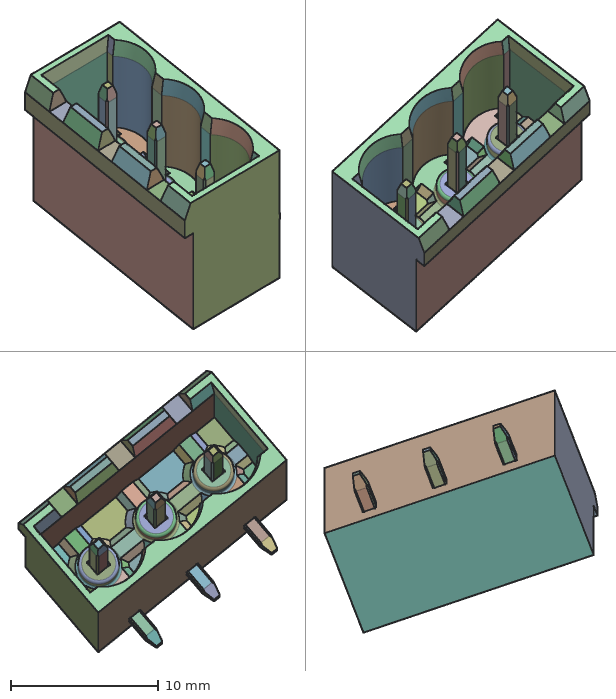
import cadquery as cq

POLE_COUNT = 3
PITCH = 5.08
POLE_XS = [(pole - (POLE_COUNT - 1) / 2) * PITCH for pole in range(POLE_COUNT)]

LENGTH = 16.64
HEIGHT = 12.0
BODY_DEPTH = 7.74
BACK_Y = BODY_DEPTH / 2
FRONT_Y = -BODY_DEPTH / 2
LIP_REACH = 0.75
LIP_Y = FRONT_Y - LIP_REACH
LIP_BOTTOM_Z = 9.02

LEAD_HEIGHT = 1.31
LEAD_Z = HEIGHT - LEAD_HEIGHT
LIP_BEVEL = 0.52

CAVITY_LENGTH = 15.41
CAVITY_BACK_Y = 2.21
CAVITY_FRONT_Y = -3.06
SIDE_FLARE = 0.13
BACK_FLARE = 0.23
FRONT_FLARE = 0.5
FLOOR_Z = 4.0

SCALLOP_Y = 0.37
SCALLOP_RADIUS = 2.75
SCALLOP_FLARE = 0.23

NOTCH_BOTTOM_WIDTH = 1.41
NOTCH_TOP_WIDTH = 1.8

CROSS_RIB_WIDTH = 1.0
FRONT_RIB_WIDTH = 1.0
BACK_RIB_WIDTH = 2.31
RIB_DRAFT = 0.5
POCKET_DEPTH = RIB_DRAFT
POCKET_Z = FLOOR_Z - POCKET_DEPTH

BOSS_RADIUS = 1.4
BOSS_HEIGHT = 1.0
BOSS_ROOT_FILLET = 0.18
BOSS_TOP_FILLET = 0.23
BOSS_SOCKET_WIDTH = 1.13
BOSS_ROOT_RADIUS = BOSS_RADIUS + BOSS_ROOT_FILLET
BOSS_SKIRT_DRAFT = RIB_DRAFT

PIN_WIDTH = 1.0
PIN_EDGE_CHAMFER = 0.12
PIN_TIP_LENGTH = 1.0
PIN_TIP_WIDTH = 0.52
PIN_TOP_Z = 10.82
TAIL_Z = 2.01
TAIL_REACH = 2.61
TAIL_END_Y = BACK_Y + TAIL_REACH


def outer_shell():
    """Block with the bevelled latching lip along its front edge."""
    return (
        cq.Workplane("YZ")
        .moveTo(BACK_Y, 0)
        .lineTo(BACK_Y, HEIGHT)
        .lineTo(LIP_Y + LIP_BEVEL, HEIGHT)
        .lineTo(LIP_Y, LEAD_Z)
        .lineTo(LIP_Y, LIP_BOTTOM_Z)
        .lineTo(FRONT_Y, LIP_BOTTOM_Z)
        .lineTo(FRONT_Y, 0)
        .close()
        .extrude(LENGTH / 2, both=True)
    )


def box_between(length, front_y, back_y, bottom_z, top_z):
    """Box centred on X = 0 between the given Y and Z limits."""
    return (
        cq.Workplane("XY", origin=(0, (front_y + back_y) / 2, bottom_z))
        .rect(length, back_y - front_y)
        .extrude(top_z - bottom_z)
    )


def cavity():
    """Rectangular cavity down to the pocket floors, flared at the mouth."""
    straight = box_between(CAVITY_LENGTH, CAVITY_FRONT_Y, CAVITY_BACK_Y, POCKET_Z, LEAD_Z)
    mouth_front_y = CAVITY_FRONT_Y - FRONT_FLARE
    mouth_back_y = CAVITY_BACK_Y + BACK_FLARE
    flare = (
        cq.Workplane("XY", origin=(0, (CAVITY_FRONT_Y + CAVITY_BACK_Y) / 2, LEAD_Z))
        .rect(CAVITY_LENGTH, CAVITY_BACK_Y - CAVITY_FRONT_Y)
        .workplane(offset=LEAD_HEIGHT)
        .center(0, (BACK_FLARE - FRONT_FLARE) / 2)
        .rect(CAVITY_LENGTH + 2 * SIDE_FLARE, mouth_back_y - mouth_front_y)
        .loft(ruled=True)
    )
    return straight.union(flare)


def scallop(x):
    """Round recess for the back wall, flared at the mouth like the cavity."""
    mouth_radius = SCALLOP_RADIUS + SCALLOP_FLARE
    round_recess = (
        cq.Workplane("XZ", origin=(x, SCALLOP_Y, 0))
        .moveTo(0, FLOOR_Z)
        .lineTo(SCALLOP_RADIUS, FLOOR_Z)
        .lineTo(SCALLOP_RADIUS, LEAD_Z)
        .lineTo(mouth_radius, HEIGHT)
        .lineTo(0, HEIGHT)
        .close()
        .revolve(360, (0, 0), (0, 1))
    )
    behind_wall_line = box_between(CAVITY_LENGTH, CAVITY_BACK_Y, BACK_Y, FLOOR_Z, HEIGHT)
    return round_recess.intersect(behind_wall_line)


def notch(x):
    """Tapered notch through the front wall and lip."""
    return (
        cq.Workplane("XZ", origin=(x, CAVITY_FRONT_Y, 0))
        .moveTo(-NOTCH_BOTTOM_WIDTH / 2, LEAD_Z)
        .lineTo(NOTCH_BOTTOM_WIDTH / 2, LEAD_Z)
        .lineTo(NOTCH_TOP_WIDTH / 2, HEIGHT)
        .lineTo(-NOTCH_TOP_WIDTH / 2, HEIGHT)
        .close()
        .extrude(CAVITY_FRONT_Y - LIP_Y)
    )


def rib(plane, origin, top_width, length):
    """Rib with sloping flanks, standing on the pocket floor and running along the plane's normal."""
    return (
        cq.Workplane(plane, origin=origin)
        .moveTo(-top_width / 2 - RIB_DRAFT, POCKET_Z)
        .lineTo(top_width / 2 + RIB_DRAFT, POCKET_Z)
        .lineTo(top_width / 2, FLOOR_Z)
        .lineTo(-top_width / 2, FLOOR_Z)
        .close()
        .extrude(length)
    )


def boss(x):
    """Round boss with filleted root and rim, on a conical skirt that rises from the pocket floor."""
    skirt_radius = BOSS_ROOT_RADIUS + BOSS_SKIRT_DRAFT
    top_z = FLOOR_Z + BOSS_HEIGHT
    return (
        cq.Workplane("XZ", origin=(x, 0, 0))
        .moveTo(0, POCKET_Z)
        .lineTo(skirt_radius, POCKET_Z)
        .lineTo(BOSS_ROOT_RADIUS, FLOOR_Z)
        .radiusArc((BOSS_RADIUS, FLOOR_Z + BOSS_ROOT_FILLET), BOSS_ROOT_FILLET)
        .lineTo(BOSS_RADIUS, top_z - BOSS_TOP_FILLET)
        .radiusArc((BOSS_RADIUS - BOSS_TOP_FILLET, top_z), -BOSS_TOP_FILLET)
        .lineTo(0, top_z)
        .close()
        .revolve(360, (0, 0), (0, 1))
    )


def boss_socket(x):
    """Square clearance opening around the pin, as deep as the boss is high."""
    return (
        cq.Workplane("XY", origin=(x, 0, FLOOR_Z))
        .rect(BOSS_SOCKET_WIDTH, BOSS_SOCKET_WIDTH)
        .extrude(BOSS_HEIGHT)
    )


def pin_leg(length):
    """Upright square bar with chamfered edges and tapered tip, its foot centred on the pin's bend."""
    foot_z = -PIN_WIDTH / 2
    tip_start_z = length - PIN_TIP_LENGTH
    bar = (
        cq.Workplane("XY", origin=(0, 0, foot_z))
        .rect(PIN_WIDTH, PIN_WIDTH)
        .extrude(length - foot_z)
        .edges("|Z")
        .chamfer(PIN_EDGE_CHAMFER)
    )
    below_tip = (
        cq.Workplane("XY", origin=(0, 0, foot_z))
        .rect(PIN_WIDTH, PIN_WIDTH)
        .extrude(tip_start_z - foot_z)
    )
    tip = (
        cq.Workplane("XY", origin=(0, 0, tip_start_z))
        .rect(PIN_WIDTH, PIN_WIDTH)
        .workplane(offset=PIN_TIP_LENGTH)
        .rect(PIN_TIP_WIDTH, PIN_TIP_WIDTH)
        .loft(ruled=True)
    )
    return bar.intersect(below_tip.union(tip))


def pin(x):
    """Right-angle pin: the contact stands in the cavity and the tail leaves through the back."""
    contact = pin_leg(PIN_TOP_Z - TAIL_Z)
    tail = pin_leg(TAIL_END_Y).rotate((0, 0, 0), (1, 0, 0), -90)
    return contact.union(tail).translate((x, 0, TAIL_Z))


def floor_ribs():
    """One rib along the pin row, plus a front and a back rib at each pin."""
    ribs = rib("YZ", (-CAVITY_LENGTH / 2, 0, 0), CROSS_RIB_WIDTH, CAVITY_LENGTH)
    for x in POLE_XS:
        ribs = ribs.union(rib("XZ", (x, 0, 0), FRONT_RIB_WIDTH, -CAVITY_FRONT_Y))
        ribs = ribs.union(rib("XZ", (x, CAVITY_BACK_Y, 0), BACK_RIB_WIDTH, CAVITY_BACK_Y))
    return ribs


def build_housing(pins):
    """Housing with its cavity, ribs and bosses, and a fitted hole for each pin."""
    housing = outer_shell().cut(cavity())
    for x in POLE_XS:
        housing = housing.cut(scallop(x)).cut(notch(x))
    housing = housing.union(floor_ribs())
    for x in POLE_XS:
        housing = housing.union(boss(x)).cut(boss_socket(x))
    for fitted_pin in pins:
        housing = housing.cut(fitted_pin)
    return housing


pins = [pin(x) for x in POLE_XS]
housing = build_housing(pins)
result = cq.Compound.makeCompound([housing.val(), *[each_pin.val() for each_pin in pins]])